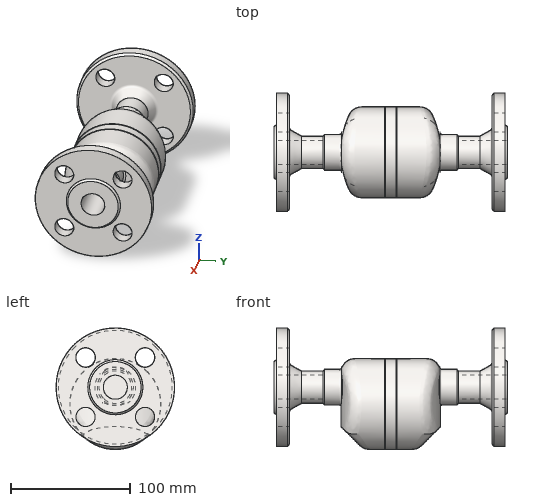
import cadquery as cq
import math

length = 195.0
half_length = length / 2

flange_diameter = 99.0
flange_radius = flange_diameter / 2
flange_thickness = 11.1
flange_chamfer = 2.0
raised_face_radius = 23.0
raised_face_height = 2.0
raised_face_chamfer = 1.5
bolt_hole_diameter = 16.0
bolt_circle_diameter = 70.2
bolt_count = 4
first_bolt_angle = 45

hub_radius = 19.1
hub_end_x = 74.3
hub_fillet = 3.0
pipe_radius = 27.1 / 2
collar_radius = 30.0 / 2
collar_end_x = 56.4
collar_chamfer = 1.2
flare_start_x = 42.9
flare_radius = 2.0
bore_diameter = 20.0
bore_depth = 41.0

margin = 2.0
selection_tolerance = 0.2

body_diameter = 76.0
body_radius = body_diameter / 2
body_half_length = 41.7
body_bottom_z = -52.0
body_axis_z = body_bottom_z + body_radius
end_bulge_radius = 74.1
end_fillet = 11.7
slope_top_z = -32.8
seam_x = 4.9
seam_width = 0.5
seam_depth = 0.2


def x_cylinder(radius, x_start, x_length, z=0.0):
    """Cylinder along +X with its axis at height z."""
    return cq.Workplane("YZ", origin=(x_start, 0, z)).circle(radius).extrude(x_length)


def make_body():
    body = x_cylinder(body_radius, -body_half_length, 2 * body_half_length, body_axis_z)

    bulge_axis_x = body_half_length - end_bulge_radius
    for axis_x in (bulge_axis_x, -bulge_axis_x):
        bulge = (
            cq.Workplane("XY", origin=(axis_x, 0, body_bottom_z - margin))
            .circle(end_bulge_radius)
            .extrude(body_diameter + 2 * margin)
        )
        body = body.intersect(bulge)

    slope_drop = slope_top_z - body_bottom_z
    for side in (-1, 1):
        corner = (
            cq.Workplane("XZ")
            .moveTo(side * (body_half_length + margin), slope_top_z + margin)
            .lineTo(side * (body_half_length - slope_drop - margin), body_bottom_z - margin)
            .lineTo(side * (body_half_length + margin), body_bottom_z - margin)
            .close()
            .extrude(body_radius + margin, both=True)
        )
        body = body.cut(corner)

    barrel_area = math.pi * body_diameter * body_radius
    barrel = body.faces("%CYLINDER").filter(lambda face: face.Area() > barrel_area)
    body = barrel.edges("not %LINE").fillet(end_fillet)

    for x in (-seam_x, seam_x):
        start = x - seam_width / 2
        ring = x_cylinder(body_radius + margin, start, seam_width, body_axis_z)
        core = x_cylinder(body_radius - seam_depth, start, seam_width, body_axis_z)
        body = body.cut(ring.cut(core))
    return body


def make_right_arm():
    """Collar, pipe, welding neck and flange on the +X side."""
    flange_front_x = half_length - raised_face_height
    flange_back_x = flange_front_x - flange_thickness
    flare_end_x = flare_start_x - flare_radius
    flare_mid = flare_radius * (1 - math.sqrt(0.5))
    arm = (
        cq.Workplane("XY")
        .moveTo(0, 0)
        .lineTo(0, collar_radius)
        .lineTo(flare_end_x, collar_radius)
        .lineTo(flare_end_x, collar_radius + flare_radius)
        .threePointArc(
            (flare_end_x + flare_mid, collar_radius + flare_mid),
            (flare_start_x, collar_radius),
        )
        .lineTo(collar_end_x - collar_chamfer, collar_radius)
        .lineTo(collar_end_x, pipe_radius)
        .lineTo(hub_end_x, pipe_radius)
        .lineTo(flange_back_x, hub_radius)
        .lineTo(flange_back_x, flange_radius - flange_chamfer)
        .lineTo(flange_back_x + flange_chamfer, flange_radius)
        .lineTo(flange_front_x, flange_radius)
        .lineTo(flange_front_x, raised_face_radius)
        .lineTo(half_length, raised_face_radius - raised_face_chamfer)
        .lineTo(half_length, 0)
        .close()
        .revolve(360, (0, 0, 0), (1, 0, 0))
    )
    hub_corner = cq.selectors.BoxSelector(
        (flange_back_x - selection_tolerance, -hub_radius - margin, -hub_radius - margin),
        (flange_back_x + selection_tolerance, hub_radius + margin, hub_radius + margin),
        boundingbox=True,
    )
    arm = arm.edges(hub_corner).fillet(hub_fillet)
    bolt_holes = (
        cq.Workplane("YZ", origin=(flange_back_x, 0, 0))
        .polarArray(bolt_circle_diameter / 2, first_bolt_angle, 360, bolt_count)
        .circle(bolt_hole_diameter / 2)
        .extrude(flange_thickness)
    )
    return arm.cut(bolt_holes)


right_arm = make_right_arm()
left_arm = right_arm.mirror("YZ")
bores = x_cylinder(bore_diameter / 2, half_length - bore_depth, bore_depth)
bores = bores.union(bores.mirror("YZ"))
result = make_body().union(right_arm).union(left_arm).cut(bores)